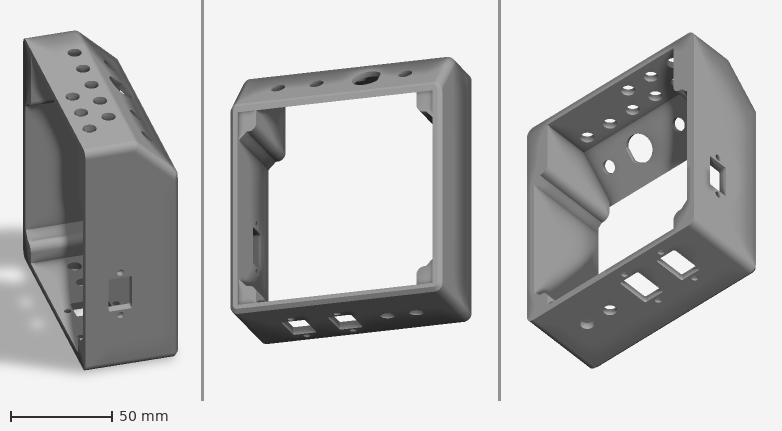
import cadquery as cq
import math


width = 110.0
depth = 48.0
height = 130.0
slope_size = 21.0
edge_radius = 4.0
rear_chamfer = 2.0
slope_bevel = 0.8

plate_wall = 4.0
side_wall = 4.4
post_width = 13.4
lower_post_top = 14.0
upper_post_bottom = 95.0
post_radius = 4.0
post_bevel = 4.0
post_setback = 2.0

hole_diameter = 7.0
hole_pitch = 15.0
outer_hole_x = 33.0
inner_hole_x = 13.0
rear_row_y = 20.0
rear_row_count = 5
front_row_y = 8.0
front_row_x = 4.5
front_row_count = 3
bottom_hole_count = 2

slope_hole_y = 37.8
socket_diameter = 15.0
socket_flat = 6.5

cutout_length = 19.0
cutout_width = 12.1
cutout_corner_radius = 1.0
screw_diameter = 3.5
screw_spacing = 25.0
cutout_y = 18.0
bottom_cutout_xs = (4.5, 28.6)
side_cutout_z = 43.7

half_width = width / 2
half_post_gap = half_width - post_width
half_inner = half_width - side_wall
ceiling = height - plate_wall
slope_start_y = depth - slope_size
slope_end_z = height - slope_size
slope_hole_z = height - (slope_hole_y - slope_start_y)
drill_length = 3 * plate_wall
half_diagonal = math.cos(math.radians(45))


def side_prism(outline):
    """Prism across the full width from a closed (Y, Z) outline."""
    return cq.Workplane("YZ", origin=(-half_width, 0, 0)).polyline(outline).close().extrude(width)


def outer_body():
    """Solid outer form with its slope, rear bevels and rounded long edges."""
    bevel_along = slope_bevel * half_diagonal
    body = side_prism([
        (0, 0),
        (depth, 0),
        (depth, slope_end_z - slope_bevel),
        (depth - bevel_along, slope_end_z + bevel_along),
        (slope_start_y, height),
        (0, height),
    ])
    body = body.edges("|Y and <Z").fillet(edge_radius)
    body = body.faces(">Y").edges("not >Z").chamfer(rear_chamfer)
    upper_edges = body.edges("not (|X or |Z)").filter(lambda edge: edge.Center().z > height / 2)
    ridge = body.edges("|X and >Z").edges(">Y")
    return upper_edges.add(ridge).fillet(edge_radius)


def opening_half():
    """Right half of the opening between the corner posts, running the full depth."""
    arc_offset = post_radius * (1 - half_diagonal)
    arc_x = half_post_gap + arc_offset
    ledge_x = half_post_gap + post_radius
    bevel_x = half_inner - post_bevel
    outline = (
        cq.Workplane("XZ")
        .moveTo(0, plate_wall)
        .lineTo(half_post_gap, plate_wall)
        .lineTo(half_post_gap, lower_post_top - post_radius)
        .threePointArc((arc_x, lower_post_top - arc_offset), (ledge_x, lower_post_top))
        .lineTo(bevel_x, lower_post_top)
        .lineTo(half_inner, lower_post_top + post_bevel)
        .lineTo(half_inner, upper_post_bottom - post_bevel)
        .lineTo(bevel_x, upper_post_bottom)
        .lineTo(ledge_x, upper_post_bottom)
        .threePointArc(
            (arc_x, upper_post_bottom + arc_offset),
            (half_post_gap, upper_post_bottom + post_radius),
        )
        .lineTo(half_post_gap, ceiling)
        .lineTo(0, ceiling)
        .close()
    )
    return outline.extrude(-depth)


def opening():
    """Whole opening: both halves and the recess behind the posts, kept under the slope."""
    half = opening_half()
    recess = cq.Workplane("XY").box(
        2 * half_inner, post_setback, ceiling - plate_wall, centered=(True, False, False)
    )
    recess = recess.translate((0, depth - post_setback, plate_wall))
    under_slope = side_prism([
        (0, 0),
        (depth, 0),
        (depth, ceiling - slope_size),
        (slope_start_y, ceiling),
        (0, ceiling),
    ])
    return half.union(half.mirror("YZ")).union(recess).intersect(under_slope)


def vertical_drill(x, y, z):
    """Drill for a small hole in a horizontal wall whose middle is at height z."""
    return cq.Workplane("XY").cylinder(drill_length, hole_diameter / 2).translate((x, y, z))


def slope_workplane(x):
    """Workplane on the outer slope face, at position x along its row of holes."""
    origin = (x, slope_hole_y, slope_hole_z)
    return cq.Workplane(cq.Plane(origin=origin, xDir=(1, 0, 0), normal=(0, 1, 1)))


def slope_drill(x, diameter):
    """Drill square to the slope."""
    return slope_workplane(x).cylinder(drill_length, diameter / 2)


def socket_drill():
    """Large slope drill with a flat on its left side."""
    radius = socket_diameter / 2
    flat_limit = slope_workplane(-inner_hole_x).box(
        socket_flat + radius, socket_diameter, drill_length
    )
    flat_limit = flat_limit.translate(((radius - socket_flat) / 2, 0, 0))
    return slope_drill(-inner_hole_x, socket_diameter).intersect(flat_limit)


def connector_cutout():
    """Rounded window with a screw hole beyond each end, centred on the origin, long along Y."""
    window = cq.Workplane("XY").box(cutout_width, cutout_length, drill_length)
    window = window.edges("|Z").fillet(cutout_corner_radius)
    screws = (
        cq.Workplane("XY")
        .pushPoints([(0, -screw_spacing / 2), (0, screw_spacing / 2)])
        .cylinder(drill_length, screw_diameter / 2)
    )
    return window.union(screws)


result = outer_body().cut(opening())

top_middle = height - plate_wall / 2
for i in range(rear_row_count):
    result = result.cut(vertical_drill(-outer_hole_x + i * hole_pitch, rear_row_y, top_middle))
for i in range(front_row_count):
    result = result.cut(vertical_drill(front_row_x + i * hole_pitch, front_row_y, top_middle))

bottom_middle = plate_wall / 2
for i in range(bottom_hole_count):
    result = result.cut(vertical_drill(-outer_hole_x + i * hole_pitch, rear_row_y, bottom_middle))
for x in bottom_cutout_xs:
    result = result.cut(connector_cutout().translate((x, cutout_y, bottom_middle)))

for x in (-outer_hole_x, inner_hole_x, outer_hole_x):
    result = result.cut(slope_drill(x, hole_diameter))
result = result.cut(socket_drill())

side_cutout = connector_cutout().rotate((0, 0, 0), (1, 0, 0), 90).rotate((0, 0, 0), (0, 0, 1), 90)
side_middle = half_width - side_wall / 2
result = result.cut(side_cutout.translate((side_middle, cutout_y, side_cutout_z)))